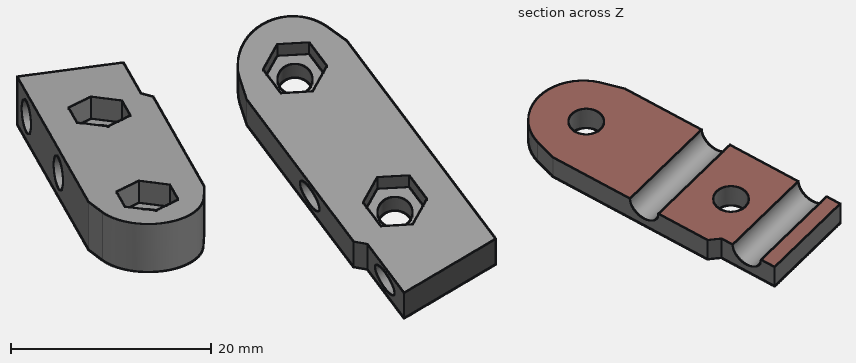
import cadquery as cq

length = 33.05
width = 12.0
thickness = 5.5
half_width = width / 2

step_depth = 1.0
step_length = 6.6

taper_start = 26.83
arc_start = 29.3
arc_half_width = 5.22

hole_diameter = 3.5
nut_hole_positions = (9.15, 27.15)
nut_across_corners = 6.38
nut_depth = 2.5

cross_hole_positions = (3.47, 15.5)


def make_body():
    return (
        cq.Workplane("XY")
        .moveTo(0, -half_width)
        .lineTo(taper_start, -half_width)
        .lineTo(arc_start, -arc_half_width)
        .threePointArc((length, 0), (arc_start, arc_half_width))
        .lineTo(taper_start, half_width)
        .lineTo(step_length + step_depth, half_width)
        .lineTo(step_length, half_width - step_depth)
        .lineTo(0, half_width - step_depth)
        .close()
        .extrude(thickness)
    )


def make_nut_holes():
    centres = [(x, 0) for x in nut_hole_positions]
    shafts = cq.Workplane("XY").pushPoints(centres).circle(hole_diameter / 2).extrude(thickness)
    pockets = (
        cq.Workplane("XY", origin=(0, 0, thickness))
        .pushPoints(centres)
        .polygon(6, nut_across_corners)
        .extrude(-nut_depth)
    )
    return shafts.union(pockets)


def make_cross_holes():
    return (
        cq.Workplane("XZ", origin=(0, half_width, thickness / 2))
        .pushPoints([(x, 0) for x in cross_hole_positions])
        .circle(hole_diameter / 2)
        .extrude(width)
    )


result = make_body().cut(make_nut_holes()).cut(make_cross_holes())